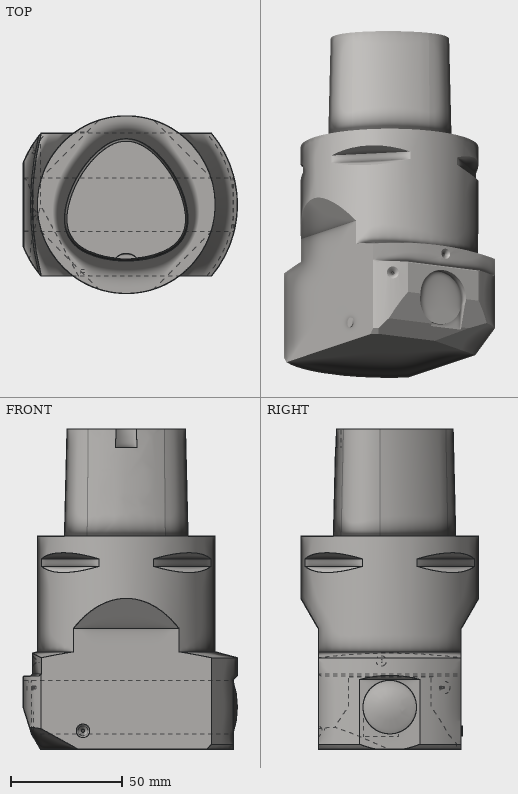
import cadquery as cq
import math

total_height = 144.0
margin = 14.4

flange_diameter = 79.9
flange_radius = flange_diameter / 2
flange_top = 95.9
body_half_width = 32.1
flat_top = 54.3
flat_runout_angle = 30.0
flat_runout_top = flat_top + (flange_radius - body_half_width) / math.tan(math.radians(flat_runout_angle))

notch_count = 4
notch_first_angle = 45.0
notch_height = 84.0
notch_floor_distance = 35.5
notch_floor_width = 3.3
notch_mouth_width = 9.0

shank_base_radius = 27.6
shank_tip_radius = 26.5
lobe_height = 2.2
lobe_rounding = 0.1
lobe_count = 3
first_lobe_angle = 90.0
lobe_half_angle = 35.0
keyway_radius = 6.2
keyway_floor_distance = 21.9
keyway_length = 8.4

head_radius = 50.0
head_edge_height = 41.2
head_slope_angle = 15.0
head_crown_rise = (head_radius - flange_radius) * math.tan(math.radians(head_slope_angle))
head_crown_height = head_edge_height + head_crown_rise
bottom_chamfer_radial = 1.6
bottom_chamfer_height = 2.3

front_face_x = -46.4
front_edge_chamfer = 0.5
front_flat_bottom = 19.0
front_break_x = -42.5
front_break_height = 6.8
front_toe_x = -38.5
ledge_height = 33.0
band_center_x = -42.2
band_edge_x = -38.2
band_foot_chamfer = 0.9

back_face_x = 48.1
back_rim_height = 33.3
back_relief_height = back_rim_height - (head_radius - back_face_x)

corner_cut_upper = cq.Vector(band_edge_x, -body_half_width, 9.2)
corner_cut_lower = cq.Vector(-21.5, -body_half_width, 0)
corner_cut_toe = cq.Vector(front_toe_x, -0.3, 0)

pin_diameter = 24.0
pin_radius = pin_diameter / 2
pin_height = 19.0
pin_front_x = -42.5
pin_dome_height = 2.0
recess_foot_x = -41.6
recess_foot_bottom = 5.8
recess_foot_left = 3.9
recess_foot_right = -11.8

nozzle_jet_diameter = 1.5
nozzle_rim_depth = 0.6
nozzle_cone_depth = 1.7
nozzle_jet_depth = 2.9
side_nozzle_x = -19.5
side_nozzle_height = 8.4
side_nozzle_diameter = 6.0
side_nozzle_seat = 4.5
band_nozzle_y = -3.9
band_nozzle_height = 39.7
band_nozzle_diameter = 4.8
band_nozzle_seat = 3.6
corner_nozzle_y = 24.8
corner_nozzle_height = 27.8
corner_nozzle_diameter = 5.5
corner_nozzle_seat = 4.0
plug_diameter = 4.5
plug_height = 0.6


def lobe_point(mean_radius, normal_angle):
    """Point of the lobed curve whose outward normal has this angle."""
    phase = math.radians(lobe_count * (normal_angle - first_lobe_angle))
    support = mean_radius + lobe_height * math.cos(phase) - lobe_rounding * math.cos(2 * phase)
    slope = lobe_count * (2 * lobe_rounding * math.sin(2 * phase) - lobe_height * math.sin(phase))
    angle = math.radians(normal_angle)
    return (
        support * math.cos(angle) - slope * math.sin(angle),
        support * math.sin(angle) + slope * math.cos(angle),
    )


def add_lobed_outline(sketch_plane, mean_radius):
    """Draw the lobed outline as alternating lobe and side curves."""
    lobe_pitch = 360.0 / lobe_count
    points_per_curve = 8
    outline = sketch_plane.moveTo(*lobe_point(mean_radius, first_lobe_angle - lobe_half_angle))
    for index in range(lobe_count):
        lobe_start = first_lobe_angle - lobe_half_angle + index * lobe_pitch
        lobe_end = lobe_start + 2 * lobe_half_angle
        for start, end in [(lobe_start, lobe_end), (lobe_end, lobe_start + lobe_pitch)]:
            step = (end - start) / points_per_curve
            points = [lobe_point(mean_radius, start + step * i) for i in range(1, points_per_curve + 1)]
            outline = outline.spline(points, includeCurrent=True)
    return outline.close()


def make_shank():
    base = add_lobed_outline(cq.Workplane("XY").workplane(offset=flange_top), shank_base_radius)
    tip_plane = base.workplane(offset=total_height - flange_top)
    shank = add_lobed_outline(tip_plane, shank_tip_radius).loft(ruled=True)
    keyway = (
        cq.Workplane("XY")
        .workplane(offset=total_height - keyway_length)
        .center(0, -keyway_floor_distance - keyway_radius)
        .circle(keyway_radius)
        .extrude(keyway_length + margin)
    )
    return shank.cut(keyway)


def make_notch_cutter(angle):
    """Trapezoidal groove cut straight across the flange."""
    mouth = notch_mouth_width / 2
    floor = notch_floor_width / 2
    return (
        cq.Workplane("XZ")
        .moveTo(notch_floor_distance, notch_height - floor)
        .lineTo(flange_radius, notch_height - mouth)
        .lineTo(flange_radius + margin, notch_height - mouth)
        .lineTo(flange_radius + margin, notch_height + mouth)
        .lineTo(flange_radius, notch_height + mouth)
        .lineTo(notch_floor_distance, notch_height + floor)
        .close()
        .extrude(flange_diameter, both=True)
        .rotate((0, 0, 0), (0, 0, 1), angle)
    )


def make_flange():
    """Notched cylinder that starts inside the head, above its stepped front."""
    flange = (
        cq.Workplane("XY")
        .workplane(offset=ledge_height)
        .circle(flange_radius)
        .extrude(flange_top - ledge_height)
    )
    for index in range(notch_count):
        flange = flange.cut(make_notch_cutter(notch_first_angle + index * 360.0 / notch_count))
    return flange


def make_head_blank():
    """Turned blank with a conical crown and a chamfered bottom edge."""
    return (
        cq.Workplane("XZ")
        .moveTo(0, 0)
        .lineTo(head_radius - bottom_chamfer_radial, 0)
        .lineTo(head_radius, bottom_chamfer_height)
        .lineTo(head_radius, head_edge_height)
        .lineTo(flange_radius, head_crown_height)
        .lineTo(0, head_crown_height)
        .close()
        .revolve(360, (0, 0, 0), (0, 1, 0))
    )


def make_side_profile():
    """Prism along Y that gives the sloped front and the relieved back of the head."""
    return (
        cq.Workplane("XZ")
        .moveTo(front_toe_x, 0)
        .lineTo(front_break_x, front_break_height)
        .lineTo(front_face_x, front_flat_bottom)
        .lineTo(front_face_x, ledge_height - front_edge_chamfer)
        .lineTo(front_face_x + front_edge_chamfer, ledge_height)
        .lineTo(front_face_x + front_edge_chamfer, total_height)
        .lineTo(head_radius, total_height)
        .lineTo(head_radius, back_rim_height)
        .lineTo(back_face_x, back_relief_height)
        .lineTo(back_face_x, 0)
        .close()
        .extrude(2 * head_radius, both=True)
    )


def add_band_outline(sketch_plane, shift):
    """Outline of the region behind the crowned band, moved outward by the shift."""
    return (
        sketch_plane.moveTo(band_edge_x - shift, -body_half_width)
        .threePointArc((band_center_x - shift, 0), (band_edge_x - shift, body_half_width))
        .lineTo(head_radius, body_half_width)
        .lineTo(head_radius, -body_half_width)
        .close()
    )


def make_head():
    """Head with its full front below the ledge and the set-back band above it."""
    head = make_head_blank().intersect(make_side_profile())
    lower = cq.Workplane("XY").circle(2 * head_radius).extrude(ledge_height)
    ledge_plane = cq.Workplane("XY").workplane(offset=ledge_height)
    foot_base = add_band_outline(ledge_plane, band_foot_chamfer).workplane(offset=band_foot_chamfer)
    foot = add_band_outline(foot_base, 0).loft(ruled=True)
    band_plane = ledge_plane.workplane(offset=band_foot_chamfer)
    band = add_band_outline(band_plane, 0).extrude(total_height)
    return head.intersect(lower).union(head.intersect(foot)).union(head.intersect(band))


def make_width_profile():
    """Prism along X: narrow at the head, opening out to the flange."""
    return (
        cq.Workplane("YZ")
        .moveTo(-body_half_width, 0)
        .lineTo(-body_half_width, flat_top)
        .lineTo(-flange_radius, flat_runout_top)
        .lineTo(-flange_radius, flange_top)
        .lineTo(flange_radius, flange_top)
        .lineTo(flange_radius, flat_runout_top)
        .lineTo(body_half_width, flat_top)
        .lineTo(body_half_width, 0)
        .close()
        .extrude(2 * head_radius, both=True)
    )


def make_corner_cutter():
    """Slab on the outer side of the oblique corner plane."""
    along_flat = corner_cut_lower - corner_cut_upper
    along_bottom = corner_cut_toe - corner_cut_lower
    normal = along_flat.cross(along_bottom)
    if normal.z > 0:
        normal = normal * -1
    plane = cq.Plane(origin=corner_cut_lower, xDir=along_flat, normal=normal)
    return cq.Workplane(plane).rect(2 * total_height, 2 * total_height).extrude(2 * margin)


def make_pin_recess():
    """Bore along the whole head, with a square-cornered foot open to the front."""
    bore = (
        cq.Workplane("YZ")
        .workplane(offset=-head_radius - margin)
        .center(0, pin_height)
        .circle(pin_radius)
        .extrude(2 * (head_radius + margin))
    )
    foot = cq.Workplane("XY").box(
        recess_foot_x + head_radius,
        recess_foot_left - recess_foot_right,
        pin_height - recess_foot_bottom,
        centered=False,
    ).translate((-head_radius, recess_foot_right, recess_foot_bottom))
    return bore.union(foot)


def make_nozzle_cutter(position, outward, rim_diameter, seat_diameter):
    """Stepped nozzle mouth: bevelled rim, conical seat and a small jet bore."""
    jet = nozzle_jet_diameter / 2
    rim = rim_diameter / 2
    cutter = (
        cq.Workplane("XZ")
        .moveTo(0, margin / 2)
        .lineTo(rim, margin / 2)
        .lineTo(rim, 0)
        .lineTo(seat_diameter / 2, -nozzle_rim_depth)
        .lineTo(jet, -nozzle_cone_depth)
        .lineTo(jet, -nozzle_jet_depth)
        .lineTo(0, -nozzle_jet_depth)
        .close()
        .revolve(360, (0, 0, 0), (0, 1, 0))
    )
    placed = cutter.val().located(cq.Location(cq.Plane(origin=position, normal=outward)))
    return cq.Workplane(placed)


def make_nozzle_cutters():
    """Cutters for the nozzles on the side flat, the crowned band and the rounded front corner."""
    corner_nozzle_x = -math.sqrt(head_radius**2 - corner_nozzle_y**2)
    side_position = (side_nozzle_x, -body_half_width, side_nozzle_height)
    band_position = (band_center_x, band_nozzle_y, band_nozzle_height)
    corner_position = (corner_nozzle_x, corner_nozzle_y, corner_nozzle_height)
    corner_outward = (corner_nozzle_x, corner_nozzle_y, 0)
    return [
        make_nozzle_cutter(side_position, (0, -1, 0), side_nozzle_diameter, side_nozzle_seat),
        make_nozzle_cutter(band_position, (-1, 0, 0), band_nozzle_diameter, band_nozzle_seat),
        make_nozzle_cutter(corner_position, corner_outward, corner_nozzle_diameter, corner_nozzle_seat),
    ]


def make_plug():
    """Plug standing slightly proud of the rear flat, opposite the side nozzle."""
    return (
        cq.Workplane("XZ", origin=(side_nozzle_x, body_half_width + plug_height, side_nozzle_height))
        .circle(plug_diameter / 2)
        .extrude(2 * plug_height)
    )


def make_body():
    body = make_flange().union(make_head()).intersect(make_width_profile())
    body = body.union(make_shank()).cut(make_corner_cutter()).cut(make_pin_recess())

    for nozzle_cutter in make_nozzle_cutters():
        body = body.cut(nozzle_cutter)
    return body.union(make_plug())


def make_pin():
    """Clamping pin along X with a flat front end and a domed back end."""
    dome_start = head_radius - pin_dome_height
    dome_radius = (pin_radius**2 + pin_dome_height**2) / (2 * pin_dome_height)
    dome_mid_angle = math.asin(pin_radius / dome_radius) / 2
    dome_mid = (
        head_radius - dome_radius * (1 - math.cos(dome_mid_angle)),
        dome_radius * math.sin(dome_mid_angle),
    )
    return (
        cq.Workplane("XY")
        .moveTo(pin_front_x, 0)
        .lineTo(pin_front_x, pin_radius)
        .lineTo(dome_start, pin_radius)
        .threePointArc(dome_mid, (head_radius, 0))
        .close()
        .revolve(360, (0, 0, 0), (1, 0, 0))
        .translate((0, 0, pin_height))
    )


body = make_body().solids()
pin = make_pin()
result = cq.Compound.makeCompound([body.val(), pin.val()])